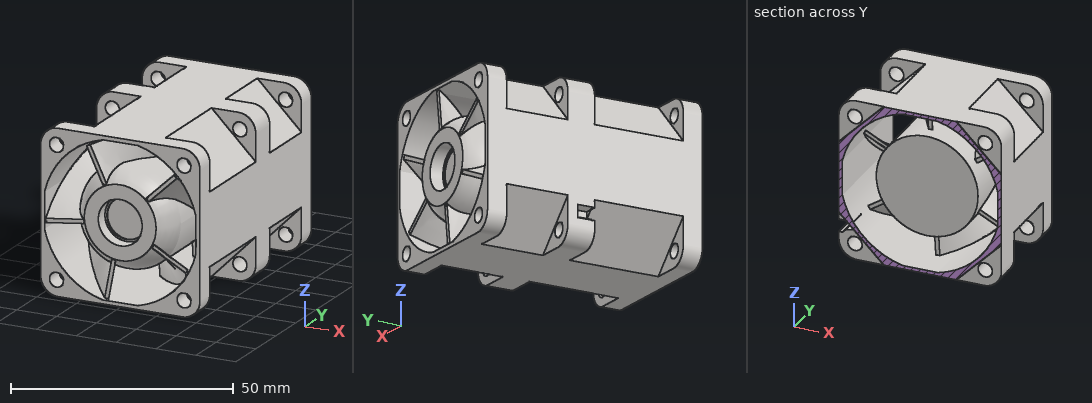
import cadquery as cq
import math


SIDE = 40.0
LENGTH = 55.9
END_FLANGE = 5.0
MID_FLANGE = 7.0
FRONT_WAIST = 23.0
REAR_WAIST = LENGTH - 2 * END_FLANGE - MID_FLANGE - FRONT_WAIST
CORNER_RADIUS = 4.4
WAIST_CHAMFER = 11.1
HOLE_DIAMETER = 3.5
HOLE_PITCH = 32.0
BORE_DIAMETER = 39.0
BORE_FLAT_WIDTH = 38.0
FRONT_FACE = -LENGTH / 2
REAR_FACE = LENGTH / 2
MID_FLANGE_START = FRONT_FACE + END_FLANGE + FRONT_WAIST
REAR_WAIST_START = MID_FLANGE_START + MID_FLANGE

NOTCH_LENGTH = 4.4
NOTCH_TOP = -10.7
NOTCH_BOTTOM = -13.8
NOTCH_LIP = 0.9
NOTCH_RAMP = 0.8
NOTCH_LEDGE_RISE = 0.4
NOTCH_DEPTH = 3.6

TIP_DIAMETER = 37.8
HUB_DIAMETER = 25.0
HUB_FACE_DIAMETER = 18.0
HUB_NOSE_LENGTH = 5.4
HUB_NOSE_BULGE = 0.6
HUB_LENGTH = 24.0
RECESS_DIAMETER = 11.0
RECESS_DEPTH = 3.3
FLOOR_DIAMETER = 10.0
FLOOR_STEP = 0.3
BLADE_THICKNESS = 1.0
BLADE_ROOT_EMBED = 0.5
BLADE_TIP_TRIM = 1.0
BLADE_SETBACK = 0.2
BLADE_DEPTH = 20.3
BLADE_ROOT_RADIUS = HUB_FACE_DIAMETER / 2 - BLADE_ROOT_EMBED
BLADE_STATIONS = 6
ENTRY_STEEPNESS = 1.1

FRONT_BLADES = 5
FRONT_EDGE_ANGLE = 115.3
FRONT_SWEEP = 61.0
REAR_BLADES = 6
REAR_EDGE_ANGLE = -97.3
REAR_SWEEP = 49.5


def section_at(y):
    """Sketch plane across the fan axis: local x is +X, local y is +Z, extrusion runs toward -Y."""
    return cq.Workplane("XZ", origin=(0, y, 0))


def waist_corner_cuts(start, length):
    """Triangular prisms that cut the four corners back between two flanges."""
    half = SIDE / 2
    inner = half - WAIST_CHAMFER
    cuts = cq.Workplane("XY")
    for sx in (-1, 1):
        for sz in (-1, 1):
            corner = [(sx * half, sz * half), (sx * inner, sz * half), (sx * half, sz * inner)]
            cuts = cuts.add(section_at(start).polyline(corner).close().extrude(-length))
    return cuts.combine()


def wire_notch():
    """Notch with a lip, a 45 degree ramp and a gently rising ledge, open at the flange's -Y face."""
    outside = -SIDE / 2
    ramp_foot = outside + NOTCH_LIP
    ramp_head = ramp_foot + NOTCH_RAMP
    ledge = NOTCH_BOTTOM + NOTCH_RAMP
    back = outside + NOTCH_DEPTH
    profile = [
        (outside, NOTCH_TOP),
        (outside, NOTCH_BOTTOM),
        (ramp_foot, NOTCH_BOTTOM),
        (ramp_head, ledge),
        (back, ledge + NOTCH_LEDGE_RISE),
        (back, NOTCH_TOP),
    ]
    return section_at(MID_FLANGE_START).polyline(profile).close().extrude(-NOTCH_LENGTH)


def make_housing():
    body = cq.Workplane("XY").box(SIDE, LENGTH, SIDE).edges("|Y").fillet(CORNER_RADIUS)
    body = body.cut(waist_corner_cuts(FRONT_FACE + END_FLANGE, FRONT_WAIST))
    body = body.cut(waist_corner_cuts(REAR_WAIST_START, REAR_WAIST))

    bore = section_at(REAR_FACE).circle(BORE_DIAMETER / 2).extrude(LENGTH)
    bore = bore.intersect(cq.Workplane("XY").box(BORE_FLAT_WIDTH, LENGTH, BORE_FLAT_WIDTH))
    body = body.cut(bore)

    holes = (
        section_at(REAR_FACE)
        .rect(HOLE_PITCH, HOLE_PITCH, forConstruction=True)
        .vertices()
        .circle(HOLE_DIAMETER / 2)
        .extrude(LENGTH)
    )
    return body.cut(holes).cut(wire_notch())


def make_hub():
    """Hub with a rounded nose and a stepped recess in its face."""
    face_radius = HUB_FACE_DIAMETER / 2
    radius = HUB_DIAMETER / 2
    hub_end = FRONT_FACE + HUB_LENGTH
    recess_end = FRONT_FACE + RECESS_DEPTH
    floor = recess_end + FLOOR_STEP
    return (
        cq.Workplane("XY")
        .moveTo(0, hub_end)
        .lineTo(radius, hub_end)
        .lineTo(radius, FRONT_FACE + HUB_NOSE_LENGTH)
        .sagittaArc((face_radius, FRONT_FACE), HUB_NOSE_BULGE)
        .lineTo(RECESS_DIAMETER / 2, FRONT_FACE)
        .lineTo(RECESS_DIAMETER / 2, recess_end)
        .lineTo(FLOOR_DIAMETER / 2, recess_end)
        .lineTo(FLOOR_DIAMETER / 2, floor)
        .lineTo(0, floor)
        .close()
        .revolve(360, (0, 0, 0), (0, 1, 0))
    )


def make_blade(edge_angle, sweep):
    """Twisted blade: radial bars lofted along Y, steep at the entry and flatter toward the exit."""
    outer = TIP_DIAMETER / 2 + BLADE_TIP_TRIM
    half = BLADE_THICKNESS / 2
    outline = [(BLADE_ROOT_RADIUS, -half), (outer, -half), (outer, half), (BLADE_ROOT_RADIUS, half)]
    sections = []
    for i in range(BLADE_STATIONS):
        turn = i / (BLADE_STATIONS - 1)
        advance = ENTRY_STEEPNESS * turn + (1 - ENTRY_STEEPNESS) * turn ** 2
        y = FRONT_FACE + BLADE_SETBACK + BLADE_DEPTH * advance
        angle = math.radians(edge_angle - sweep * turn)
        corners = [
            cq.Vector(
                r * math.cos(angle) - t * math.sin(angle),
                y,
                r * math.sin(angle) + t * math.cos(angle),
            )
            for r, t in outline
        ]
        sections.append(cq.Wire.makePolygon(corners, close=True))
    return cq.Workplane("XY").add(cq.Solid.makeLoft(sections))


def make_rotor(blade_count, edge_angle, sweep):
    """Rotor whose hub face is flush with the housing's -Y face."""
    tip_envelope = section_at(FRONT_FACE + HUB_LENGTH).circle(TIP_DIAMETER / 2).extrude(HUB_LENGTH)
    rotor = make_hub()
    for i in range(blade_count):
        blade = make_blade(edge_angle + i * 360 / blade_count, sweep)
        rotor = rotor.union(blade.intersect(tip_envelope))
    return rotor


housing = make_housing()
front_rotor = make_rotor(FRONT_BLADES, FRONT_EDGE_ANGLE, FRONT_SWEEP)
rear_rotor = make_rotor(REAR_BLADES, REAR_EDGE_ANGLE, REAR_SWEEP).mirror("XZ")

result = cq.Compound.makeCompound([housing.val(), front_rotor.val(), rear_rotor.val()])